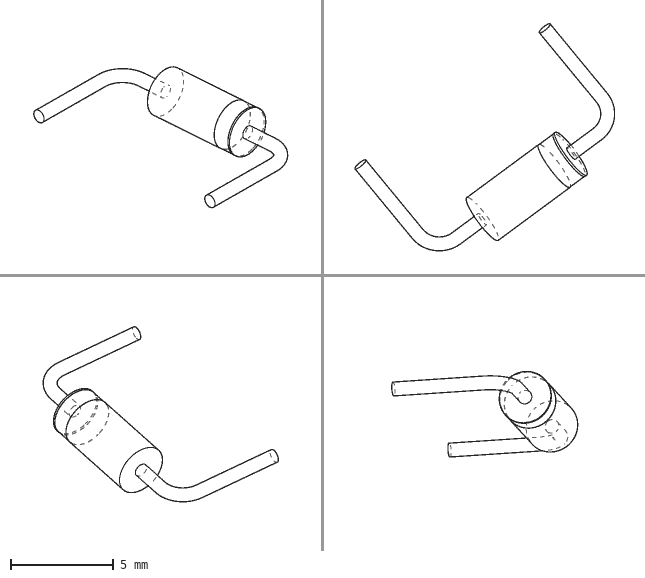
import cadquery as cq

span = 12.12
body_diameter = 2.6
depth = 7.2

body_length = 5.49
rim_length = 0.11
band_length = 0.92
band_diameter = 2.58

lead_diameter = 0.69
bend_radius = 1.35

leg_x = (span - lead_diameter) / 2
leg_tip_y = body_diameter / 2 - depth


def cylinder(diameter, start_x, length):
    """Solid cylinder along +X, starting at start_x."""
    return (
        cq.Workplane("YZ")
        .workplane(offset=start_x)
        .circle(diameter / 2)
        .extrude(length)
    )


def make_body():
    """Cylinder with a shallow band groove that leaves a thin rim at the +X end."""
    band_start_x = body_length / 2 - rim_length - band_length
    body = cylinder(body_diameter, -body_length / 2, body_length)
    ring = cylinder(body_diameter, band_start_x, band_length)
    core = cylinder(band_diameter, band_start_x, band_length)
    return body.cut(ring.cut(core))


def make_lead():
    """One wire that runs through the body and bends toward -Y at both ends."""
    bend_start_x = leg_x - bend_radius
    path = (
        cq.Workplane("XY")
        .moveTo(-leg_x, leg_tip_y)
        .lineTo(-leg_x, -bend_radius)
        .radiusArc((-bend_start_x, 0), bend_radius)
        .lineTo(bend_start_x, 0)
        .radiusArc((leg_x, -bend_radius), bend_radius)
        .lineTo(leg_x, leg_tip_y)
    )
    return (
        cq.Workplane("XZ", origin=(-leg_x, leg_tip_y, 0))
        .circle(lead_diameter / 2)
        .sweep(path)
    )


result = make_body().union(make_lead())